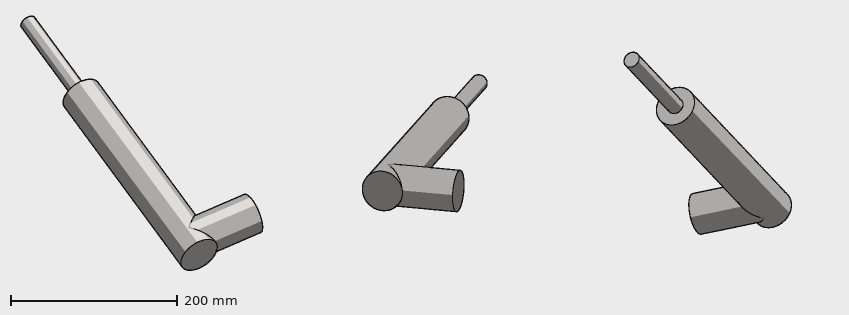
import cadquery as cq

overall_length = 418.5
overall_depth = 113.0
body_diameter = 50.0
rod_diameter = 20.0
rod_length = 130.0

body_radius = body_diameter / 2
body_length = overall_length - rod_length
branch_x = overall_length - body_radius
branch_length = overall_depth - body_radius


def cylinder(diameter, length, start, direction):
    """Solid cylinder from its start point along the given direction."""
    return cq.Workplane(
        cq.Solid.makeCylinder(diameter / 2, length, cq.Vector(*start), cq.Vector(*direction))
    )


rod = cylinder(rod_diameter, rod_length, (0, 0, 0), (1, 0, 0))
body = cylinder(body_diameter, body_length, (rod_length, 0, 0), (1, 0, 0))
branch = cylinder(body_diameter, branch_length, (branch_x, 0, 0), (0, 1, 0))

result = body.union(branch).union(rod)